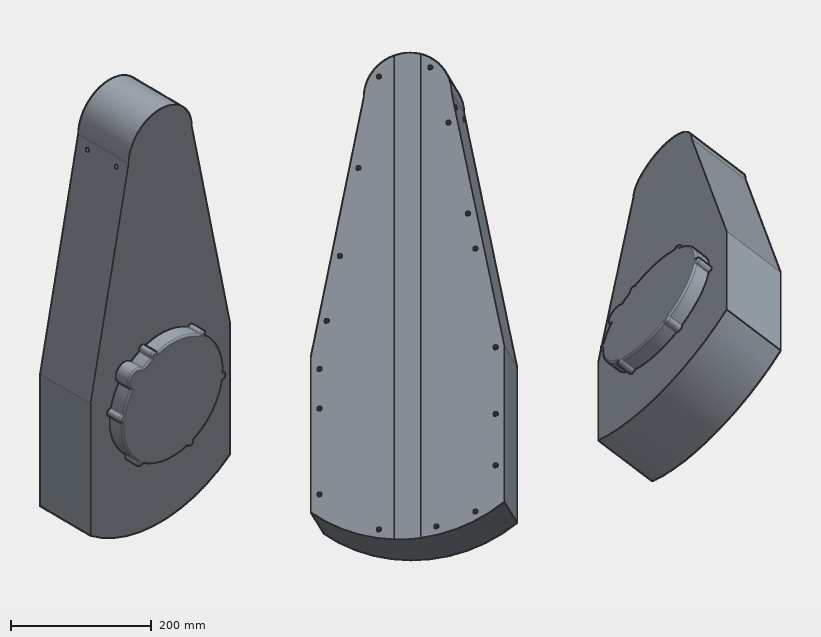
import math

import cadquery as cq

INCH = 25.4

arm_thickness = 4 * INCH
axis_spacing = 17 * INCH
elbow_radius = 2.5 * INCH
shoulder_radius = 9 * INCH
half_width = 5.5 * INCH
taper_start_z = 2 * INCH

stripe_width = 1.5 * INCH
stripe_depth = 0.2

flange_radius = 4 * INCH
flange_height = 1 * INCH
flange_fillet = 0.125 * INCH
flange_corner_fillet = 0.5
ear_radius = 0.25 * INCH
ear_angles = (-6.5, 53.5, 111, 171, 231, 291)
lobe_radius = 0.6875 * INCH
lobe_angle = 135

screw_diameter = 0.25 * INCH
screw_depth = 0.5 * INCH
drill_point_angle = 118
outer_face_screws = (
    (-32.7, 471.3),
    (41.3, 461.9),
    (-59.0, 387.8),
    (71.0, 327.7),
    (-87.0, 250.9),
    (97.8, 198.1),
    (-97.8, 198.1),
    (116.7, 102.8),
    (-127.0, 49.8),
    (127.0, 31.7),
    (127.0, -27.2),
    (-127.0, -49.5),
    (-127.0, -125.8),
    (127.0, -154.7),
    (-97.8, -192.9),
    (41.3, -211.8),
    (-41.3, -211.8),
)
taper_screw_spacing = 57.7
taper_screw_drop = 15.0


def arm_body():
    """Plate with a round elbow end, tapered sides and a wide arc at the shoulder end."""
    arc_end_z = -math.sqrt(shoulder_radius**2 - half_width**2)
    return (
        cq.Workplane("YZ")
        .moveTo(-half_width, arc_end_z)
        .threePointArc((0, -shoulder_radius), (half_width, arc_end_z))
        .lineTo(half_width, taper_start_z)
        .lineTo(elbow_radius, axis_spacing)
        .threePointArc((0, axis_spacing + elbow_radius), (-elbow_radius, axis_spacing))
        .lineTo(-half_width, taper_start_z)
        .close()
        .extrude(arm_thickness)
    )


def stripe_cutter():
    """Full-length bar that recesses the stripe into the outer face."""
    length = shoulder_radius + axis_spacing + elbow_radius
    return (
        cq.Workplane("XY", origin=(0, 0, -shoulder_radius))
        .box(stripe_depth, stripe_width, length, centered=(False, True, False))
    )


def rim_point(radius, angle):
    """(Y, Z) of a point around the shoulder axis, with the angle in degrees from +Y."""
    return radius * math.cos(math.radians(angle)), radius * math.sin(math.radians(angle))


def shoulder_flange():
    """Round flange with small ears and one larger lobe centred on its rim, rounded at its outer edge."""
    bumps = [(angle, ear_radius) for angle in ear_angles]
    bumps.append((lobe_angle, lobe_radius))
    bumps.sort()

    half_spans = [math.degrees(2 * math.asin(radius / flange_radius / 2)) for _, radius in bumps]
    starts = [angle - half_span for (angle, _), half_span in zip(bumps, half_spans)]
    ends = [angle + half_span for (angle, _), half_span in zip(bumps, half_spans)]
    next_starts = starts[1:] + [starts[0] + 360]

    outline = cq.Workplane("YZ", origin=(arm_thickness, 0, 0))
    outline = outline.moveTo(*rim_point(flange_radius, starts[0]))
    for (angle, radius), end, next_start in zip(bumps, ends, next_starts):
        bump_crest = rim_point(flange_radius + radius, angle)
        bump_end = rim_point(flange_radius, end)
        rim_middle = rim_point(flange_radius, (end + next_start) / 2)
        rim_end = rim_point(flange_radius, next_start)
        outline = outline.threePointArc(bump_crest, bump_end).threePointArc(rim_middle, rim_end)

    flange = outline.close().extrude(flange_height)
    flange = flange.edges("|X").fillet(flange_corner_fillet)
    return flange.faces(">X").edges().fillet(flange_fillet)


def screw_hole(entry, direction):
    """Blind drilled hole going from the entry point into the part along the direction."""
    radius = screw_diameter / 2
    tip_length = radius / math.tan(math.radians(drill_point_angle / 2))
    start = cq.Vector(*entry)
    axis = cq.Vector(*direction)
    bore = cq.Solid.makeCylinder(radius, screw_depth, start, axis)
    tip = cq.Solid.makeCone(radius, 0, tip_length, start + axis * screw_depth, axis)
    return cq.Workplane(bore).union(cq.Workplane(tip))


def taper_screw_holes():
    """Two holes square to the -Y tapered side, just below the elbow."""
    run = half_width - elbow_radius
    rise = axis_spacing - taper_start_z
    side_length = math.hypot(run, rise)
    inward = (0, rise / side_length, -run / side_length)
    y = -elbow_radius - taper_screw_drop * run / rise
    z = axis_spacing - taper_screw_drop
    holes = []
    for side in (-1, 1):
        x = arm_thickness / 2 + side * taper_screw_spacing / 2
        holes.append(screw_hole((x, y, z), inward))
    return holes


result = arm_body().cut(stripe_cutter())
for screw_y, screw_z in outer_face_screws:
    result = result.cut(screw_hole((0, screw_y, screw_z), (1, 0, 0)))
for hole in taper_screw_holes():
    result = result.cut(hole)
result = result.union(shoulder_flange())